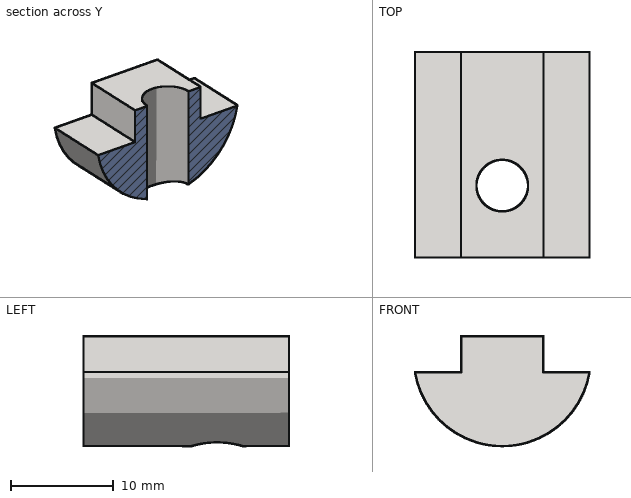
import cadquery as cq

length = 20.0
flange_width = 17.0
total_height = 10.7

stem_width = 8.0
stem_height = 3.5

hole_diameter = 5.0
hole_from_front = 7.0

shoulder_z = total_height - stem_height
half_flange = flange_width / 2
half_stem = stem_width / 2


def make_body():
    """T-shaped section with a rounded underside, extruded from Y = 0 to Y = length."""
    return (
        cq.Workplane("XZ")
        .moveTo(-half_flange, shoulder_z)
        .threePointArc((0, 0), (half_flange, shoulder_z))
        .lineTo(half_stem, shoulder_z)
        .lineTo(half_stem, total_height)
        .lineTo(-half_stem, total_height)
        .lineTo(-half_stem, shoulder_z)
        .close()
        .extrude(-length)
    )


def make_hole():
    """Vertical cylinder that removes the through hole."""
    return (
        cq.Workplane("XY")
        .center(0, hole_from_front)
        .circle(hole_diameter / 2)
        .extrude(total_height)
    )


result = make_body().cut(make_hole())